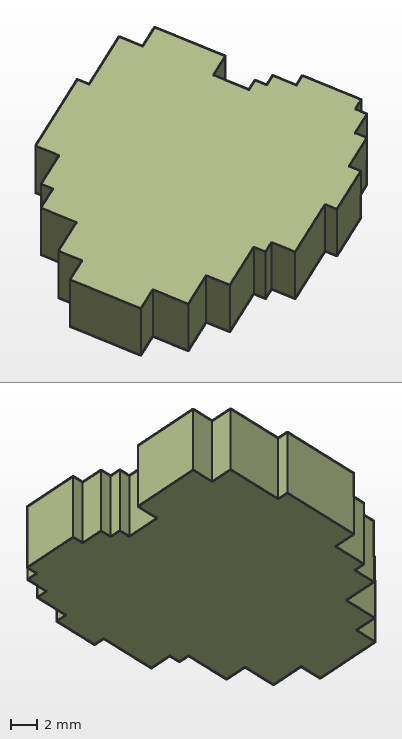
import cadquery as cq

CELL = 1.0
COLUMNS = 23
ROWS = 25
THICKNESS = 6 * CELL

TIP = [(8, 0), (14, 0), (14, 2)]
RIGHT_SIDE = [
    (17, 2), (17, 5), (19, 5), (19, 9), (20, 9), (20, 10),
    (22, 10), (22, 15), (23, 15), (23, 19), (22, 19), (22, 22),
]
RIGHT_LOBE = [
    (21, 22), (21, 24), (20, 24), (20, 25), (15, 25), (15, 24),
    (13, 24), (13, 23), (12, 23), (12, 22),
]
LEFT_LOBE = [(9, 22), (9, 24), (3, 24), (3, 22)]
LEFT_SIDE = [
    (1, 22), (1, 17), (0, 17), (0, 10), (2, 10), (2, 7),
    (3, 7), (3, 5), (6, 5), (6, 2), (8, 2),
]
OUTLINE = TIP + RIGHT_SIDE + RIGHT_LOBE + LEFT_LOBE + LEFT_SIDE


def cell_corner(column, row):
    """Position of a cell corner, with the outline centred on the origin."""
    return (column - COLUMNS / 2) * CELL, (row - ROWS / 2) * CELL


corners = [cell_corner(column, row) for column, row in OUTLINE]
result = cq.Workplane("XY").polyline(corners).close().extrude(THICKNESS)